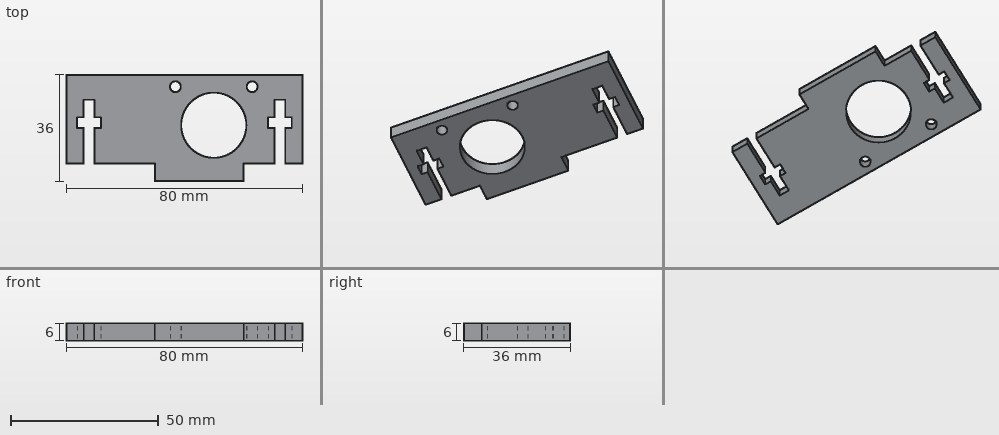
import cadquery as cq

length = 80.0
body_width = 30.0
thickness = 6.0

tab_left = 30.0
tab_length = 30.0
tab_depth = 6.0

slot_inset = 7.7
slot_width = 3.6
slot_depth = 21.5
cross_length = 8.0
cross_width = 3.5
cross_height = 13.8

bore_diameter = 22.0
bore_x = 49.9
bore_y = 13.0
screw_diameter = 3.6
screw_spacing = 26.0
screw_y = body_width - 4.0


def block(left, bottom, size_x, size_y):
    """Full-thickness block placed by its lower left corner."""
    return cq.Workplane("XY").box(size_x, size_y, thickness, centered=False).translate((left, bottom, 0))


def cross_slot(center_x):
    """Straight slot from the lower edge, crossed by a pocket for a nut."""
    slot = block(center_x - slot_width / 2, 0, slot_width, slot_depth)
    cross = block(
        center_x - cross_length / 2,
        cross_height - cross_width / 2,
        cross_length,
        cross_width,
    )
    return slot.union(cross)


def hole(center_x, center_y, diameter):
    """Cylinder through the full thickness."""
    return cq.Workplane("XY").center(center_x, center_y).circle(diameter / 2).extrude(thickness)


result = block(0, 0, length, body_width)
result = result.union(block(tab_left, -tab_depth, tab_length, tab_depth))

for slot_x in (slot_inset, length - slot_inset):
    result = result.cut(cross_slot(slot_x))

result = result.cut(hole(bore_x, bore_y, bore_diameter))
for side in (-1, 1):
    result = result.cut(hole(bore_x + side * screw_spacing / 2, screw_y, screw_diameter))